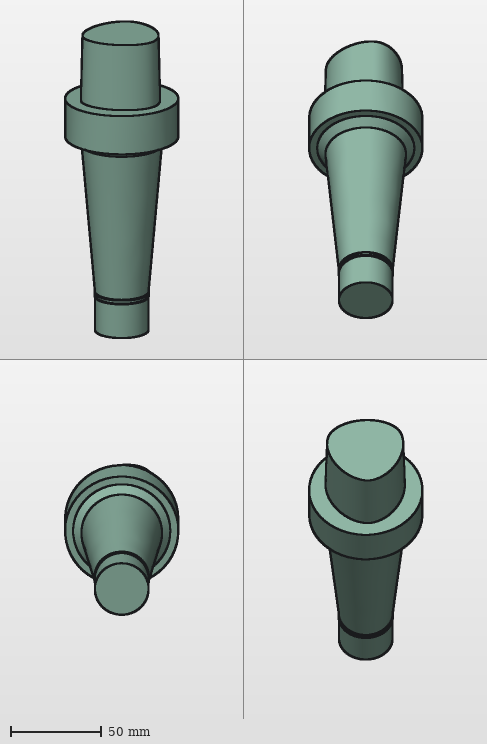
import cadquery as cq
import math

total_length = 173.0
collar_top = 135.3
collar_bottom = 113.0
shank_top = 108.5
groove_top = 22.5
groove_width = 0.5
band_top = groove_top - groove_width
band_bottom = 19.7
band_chamfer_height = 0.5

collar_diameter = 63.0
chamfer_diameter = 54.0
shank_diameter = 44.8
tail_diameter = 30.0
band_diameter = 30.3
groove_diameter = 22.3

coupling_base_width = 44.1
coupling_tip_width = 42.4
lobe_height = 1.2
spline_points = 48


def turned_body():
    """Revolve the tail, raised band, narrow groove, conical shank and collar about Z."""
    profile = [
        (0, 0),
        (tail_diameter / 2, 0),
        (tail_diameter / 2, band_bottom),
        (band_diameter / 2, band_bottom + band_chamfer_height),
        (band_diameter / 2, band_top),
        (groove_diameter / 2, band_top),
        (groove_diameter / 2, groove_top),
        (tail_diameter / 2, groove_top),
        (shank_diameter / 2, shank_top),
        (chamfer_diameter / 2, collar_bottom),
        (collar_diameter / 2, collar_bottom),
        (collar_diameter / 2, collar_top),
        (0, collar_top),
    ]
    return cq.Workplane("XZ").polyline(profile).close().revolve(360, (0, 0), (0, 1))


def lobed_point(mean_radius, angle):
    """Point on a constant-width curve whose tangent distance is mean_radius + lobe_height * cos(3 * angle)."""
    distance = mean_radius + lobe_height * math.cos(3 * angle)
    slope = -3 * lobe_height * math.sin(3 * angle)
    along = distance * math.cos(angle) - slope * math.sin(angle)
    across = distance * math.sin(angle) + slope * math.cos(angle)
    return across, -along


def lobed_wire(mean_radius, height):
    """Closed smooth three-lobed outline at the given height."""
    points = []
    for index in range(spline_points):
        x, y = lobed_point(mean_radius, 2 * math.pi * index / spline_points)
        points.append(cq.Vector(x, y, height))
    return cq.Wire.assembleEdges([cq.Edge.makeSpline(points, periodic=True)])


def coupling():
    """Loft the tapered lobed coupling from the collar to the tip."""
    base = lobed_wire(coupling_base_width / 2, collar_top)
    tip = lobed_wire(coupling_tip_width / 2, total_length)
    return cq.Solid.makeLoft([base, tip], True)


result = turned_body().union(cq.Workplane(coupling()))